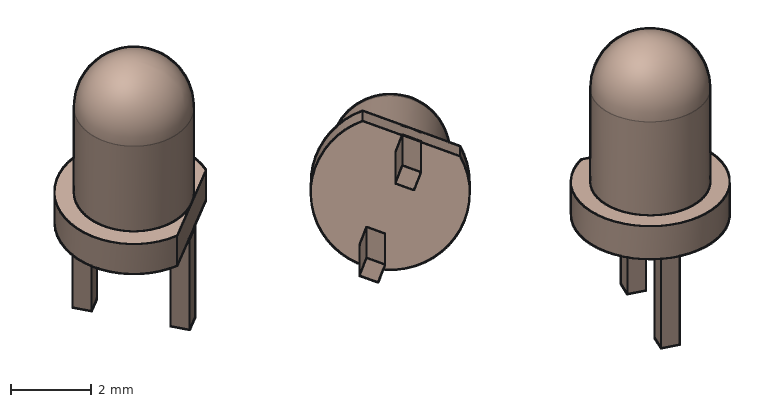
import cadquery as cq

total_height = 8.3
lens_diameter = 3.0
lens_radius = lens_diameter / 2

flange_diameter = 3.96
flange_radius = flange_diameter / 2
flange_height = 1.0
flat_x = lens_radius

lead_length = 3.0
lead_width = 0.5
lead_pitch = 2.54

housing_top = total_height - lead_length
dome_base = housing_top - lens_radius


def make_flange():
    """Disc with one side cut off flat at flat_x."""
    disc = cq.Workplane("XY").circle(flange_radius).extrude(flange_height)
    keep_width = flange_radius + flat_x
    keep = cq.Workplane("XY").box(
        keep_width, flange_diameter, flange_height, centered=(False, True, False)
    )
    return disc.intersect(keep.translate((-flange_radius, 0, 0)))


def make_lens():
    """Cylinder with a hemispherical end, revolved from its half profile."""
    arc_offset = lens_radius * 0.5 ** 0.5
    return (
        cq.Workplane("XZ")
        .lineTo(lens_radius, 0)
        .lineTo(lens_radius, dome_base)
        .threePointArc((arc_offset, dome_base + arc_offset), (0, housing_top))
        .close()
        .revolve(360, (0, 0, 0), (0, 1, 0))
    )


def make_housing():
    """Lens and flange moulded as one body."""
    return make_flange().union(make_lens()).solids()


def make_lead(x):
    """Square lead hanging from the flange underside."""
    return cq.Workplane("XY").center(x, 0).rect(lead_width, lead_width).extrude(-lead_length)


housing = make_housing()
leads = [make_lead(side * lead_pitch / 2) for side in (-1, 1)]

result = cq.Compound.makeCompound([housing.val(), *[lead.val() for lead in leads]])